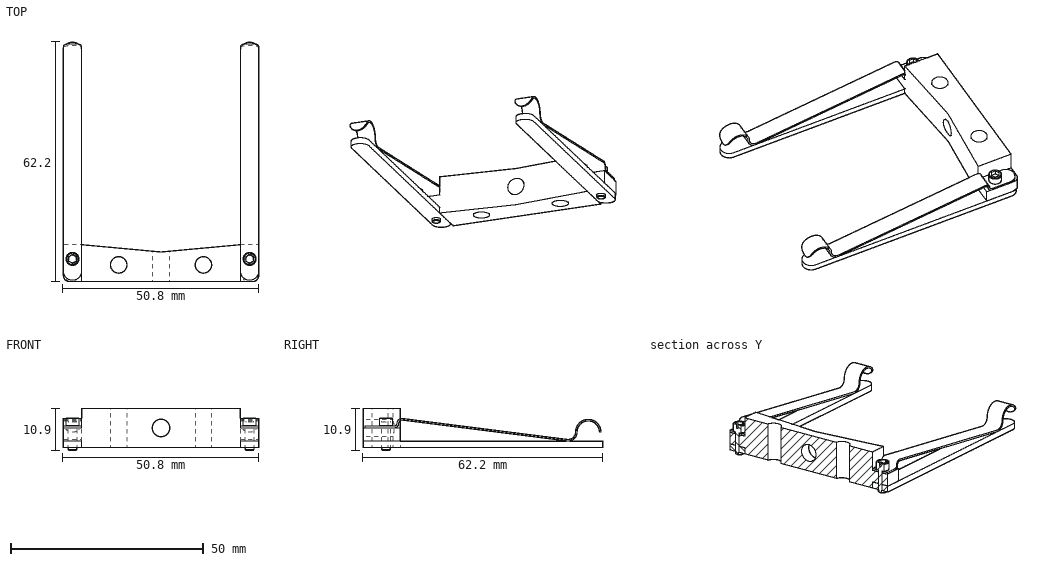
import cadquery as cq
import math

overall_width = 50.8
arm_length = 62.23
arm_width = 4.8
arm_thickness = 1.651
arm_x = (overall_width - arm_width) / 2
arm_sides = (-1, 1)

block_height = 10.16
block_depth = 9.652
block_mid_depth = 7.747
body_width = overall_width - 2 * arm_width
ear_top = block_height / 2
ear_corner_radius = 1.651
mount_hole_diameter = 4.22
mount_hole_spacing = 22.0
mount_hole_y = 4.37
cross_hole_diameter = 4.5
cross_hole_z = block_height / 2

strip_thickness = 0.457
half_strip = strip_thickness / 2
strip_front = 0.4
foot_radius = 0.95
riser_y = 8.98
bump_crown = 7.56
dip_radius = 2.12
curl_radius = 3.1
curl_y = 58.43

screw_y = 5.92
shank_diameter = 2.3
shank_protrusion = 0.762
shank_chamfer = 0.2
head_diameter = 3.38
head_height = 2.184
head_chamfer = 0.2
head_base_chamfer = 0.12
socket_across_flats = 1.984
socket_depth = 1.1
head_seat = ear_top + strip_thickness


def screw_hole(x):
    """Cylinder that clears one screw shank through the whole stack."""
    hole = cq.Workplane("XY").center(x, screw_y).circle(shank_diameter / 2)
    return hole.extrude(block_height)


def make_block():
    half_body = body_width / 2
    half_width = overall_width / 2
    block = (
        cq.Workplane("XY")
        .moveTo(-half_body, 0)
        .lineTo(half_body, 0)
        .lineTo(half_body, block_depth)
        .lineTo(0, block_mid_depth)
        .lineTo(-half_body, block_depth)
        .close()
        .extrude(block_height)
    )
    for side in arm_sides:
        ear = (
            cq.Workplane("XY", origin=(side * arm_x, block_depth / 2, arm_thickness))
            .rect(arm_width, block_depth)
            .extrude(ear_top - arm_thickness)
        )
        ear_mid_z = (arm_thickness + ear_top) / 2
        outer_corner = cq.selectors.NearestToPointSelector((side * half_width, 0, ear_mid_z))
        ear = ear.edges("|Z").edges(outer_corner).fillet(ear_corner_radius)
        block = block.union(ear).cut(screw_hole(side * arm_x))

    mount_holes = (
        cq.Workplane("XY")
        .pushPoints([(side * mount_hole_spacing / 2, mount_hole_y) for side in arm_sides])
        .circle(mount_hole_diameter / 2)
        .extrude(block_height)
    )
    cross_hole = (
        cq.Workplane("XZ", origin=(0, 0, cross_hole_z))
        .circle(cross_hole_diameter / 2)
        .extrude(-block_depth)
    )
    return block.cut(mount_holes).cut(cross_hole)


def make_arm(x):
    """Flat bar with both ends fully rounded."""
    arm = (
        cq.Workplane("XY")
        .center(x, arm_length / 2)
        .slot2D(arm_length, arm_width, 90)
        .extrude(arm_thickness)
    )
    return arm.cut(screw_hole(x))


def strip_bends():
    """Bends from foot to tip: centre y, centre z, radius, start angle, end angle (degrees).

    The foot bend flows straight into the bump, and the dip straight into the curl.
    """
    foot_z = ear_top + half_strip + foot_radius
    bump_radius = bump_crown - half_strip - foot_z
    bump_y = riser_y + bump_radius
    dip_y = curl_y - curl_radius - dip_radius
    dip_z = arm_thickness + half_strip + dip_radius

    span = math.hypot(dip_y - bump_y, foot_z - dip_z)
    centre_fall = math.atan2(foot_z - dip_z, dip_y - bump_y)
    leaf_fall = math.degrees(centre_fall + math.asin((bump_radius + dip_radius) / span))

    return [
        (riser_y - foot_radius, foot_z, foot_radius, -90, 0),
        (bump_y, foot_z, bump_radius, 180, 90 - leaf_fall),
        (dip_y, dip_z, dip_radius, 270 - leaf_fall, 360),
        (curl_y, dip_z, curl_radius, 180, 0),
    ]


def face_arcs(offset):
    """Start, middle and end point of every bend on the strip face lying `offset` above its middle."""
    arcs = []
    for y, z, radius, start, end in strip_bends():
        turns_left = end > start
        face_radius = radius - offset if turns_left else radius + offset
        points = []
        for angle in (start, (start + end) / 2, end):
            turn = math.radians(angle)
            points.append((y + face_radius * math.cos(turn), z + face_radius * math.sin(turn)))
        arcs.append(points)
    return arcs


def make_spring(x):
    profile = cq.Workplane("YZ", origin=(x, 0, 0)).moveTo(strip_front, ear_top + strip_thickness)
    foot, bump, dip, curl = face_arcs(half_strip)
    for first, second in ((foot, bump), (dip, curl)):
        profile = profile.lineTo(*first[0]).threePointArc(*first[1:]).threePointArc(*second[1:])
    foot, bump, dip, curl = face_arcs(-half_strip)
    for first, second in ((curl, dip), (bump, foot)):
        profile = profile.lineTo(*first[2]).threePointArc(*first[1::-1]).threePointArc(*second[1::-1])
    strip = profile.lineTo(strip_front, ear_top).close().extrude(arm_width / 2, both=True)

    plan_length = arm_length - strip_front
    foot_outline = (
        cq.Workplane("XY")
        .center(x, strip_front + plan_length / 2)
        .slot2D(plan_length + arm_width, arm_width, 90)
        .extrude(block_height)
        .translate((0, arm_width / 2, 0))
    )
    strip = strip.intersect(foot_outline)

    tip_z = strip_bends()[-1][1]
    tip_round = arm_width / 2
    tip_blank = (
        cq.Workplane("XY", origin=(x, curl_y, tip_z))
        .rect(arm_width, arm_width, centered=(True, False))
        .extrude(tip_round)
    )
    tip_outline = (
        cq.Workplane("XZ", origin=(x, curl_y, tip_z + tip_round))
        .circle(tip_round)
        .extrude(-arm_width)
    )
    return strip.cut(tip_blank.cut(tip_outline)).cut(screw_hole(x))


def make_screw(x):
    head = (
        cq.Workplane("XY", origin=(x, screw_y, head_seat))
        .circle(head_diameter / 2)
        .extrude(head_height)
        .faces(">Z")
        .edges()
        .chamfer(head_chamfer)
        .faces("<Z")
        .edges()
        .chamfer(head_base_chamfer)
    )
    shank = (
        cq.Workplane("XY", origin=(x, screw_y, -shank_protrusion))
        .circle(shank_diameter / 2)
        .extrude(head_seat + shank_protrusion)
        .faces("<Z")
        .edges()
        .chamfer(shank_chamfer)
    )
    hex_half_angle = 30
    socket = (
        cq.Workplane("XY", origin=(x, screw_y, head_seat + head_height - socket_depth))
        .transformed(rotate=(0, 0, hex_half_angle))
        .polygon(6, socket_across_flats / math.cos(math.radians(hex_half_angle)))
        .extrude(socket_depth)
    )
    return head.union(shank).cut(socket)


block = make_block()
bodies = [block.val()]
for side in arm_sides:
    x = side * arm_x
    bodies.append(make_arm(x).val())
    bodies.append(make_spring(x).val())
    bodies.append(make_screw(x).val())

result = cq.Compound.makeCompound(bodies)